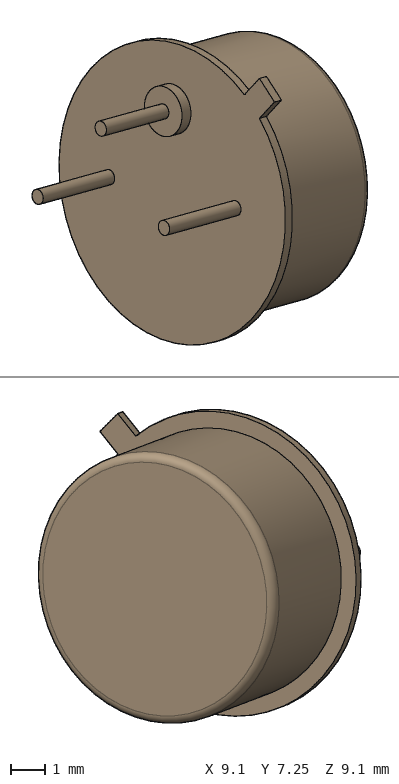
import cadquery as cq
import math

flange_diameter = 9.1
flange_thickness = 0.3
tab_width = 0.855
tab_reach = 5.39
tab_angle = 45.0
lead_diameter = 0.455
lead_length = 3.05
lead_circle_radius = 2.54
lead_angles = (0.0, 90.0, 180.0)
standoff_angle = 90.0
standoff_diameter = 1.51
standoff_height = 0.38

can_diameter = 8.1
can_height = 3.9
can_edge_radius = 0.26


def cylinder_along_y(diameter, start_y, length, x=0.0, z=0.0):
    """Cylinder that runs from start_y towards +Y, or towards -Y for a negative length."""
    direction = cq.Vector(0, math.copysign(1, length), 0)
    solid = cq.Solid.makeCylinder(diameter / 2, abs(length), cq.Vector(x, start_y, z), direction)
    return cq.Workplane(solid)


def lead_position(angle):
    """X and Z of a point on the lead circle."""
    radians = math.radians(angle)
    return lead_circle_radius * math.cos(radians), lead_circle_radius * math.sin(radians)


def make_tab():
    """Rectangular tab, started at the flange axis so that it merges with the flange."""
    tab = cq.Workplane().box(tab_reach, flange_thickness, tab_width, centered=(False, False, True))
    return tab.rotate((0, 0, 0), (0, 1, 0), -tab_angle)


def make_header():
    """Flange, tab, standoff and leads as one solid, with the front face at Y = 0."""
    header = cylinder_along_y(flange_diameter, 0, flange_thickness).union(make_tab())
    standoff_x, standoff_z = lead_position(standoff_angle)
    header = header.union(
        cylinder_along_y(standoff_diameter, 0, -standoff_height, standoff_x, standoff_z)
    )
    for angle in lead_angles:
        lead_x, lead_z = lead_position(angle)
        full_length = flange_thickness + lead_length
        header = header.union(
            cylinder_along_y(lead_diameter, flange_thickness, -full_length, lead_x, lead_z)
        )
    return header


def make_can():
    """Can seated on the back face of the flange."""
    can = cylinder_along_y(can_diameter, flange_thickness, can_height)
    return can.faces(">Y").edges().fillet(can_edge_radius)


header = make_header()
can = make_can()
result = cq.Compound.makeCompound([header.solids().val(), can.solids().val()])